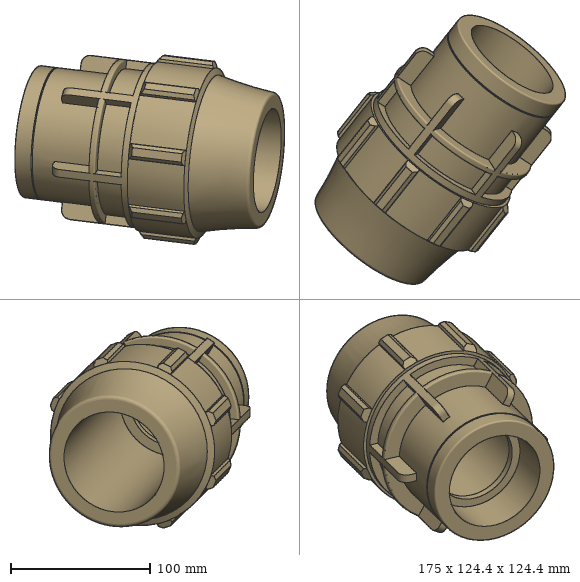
import cadquery as cq
length = 175.0

barrel_radius = 47.8
neck_radius = 53.0
collar_radius = 59.41
mouth_fillet = 1.2

groove_start = 12.5
groove_width = 0.9
groove_depth = 0.2

ring_start = 58.3
ring_width = 4.9
ring_fillet = 1.2
flange_start = 82.6

nut_start = 87.8
nut_radius = 61.6
nose_start = 131.8
nose_start_radius = 56.7
nose_end_radius = 49.0
nose_sag = 0.9
nose_fillet = 2.5

lug_count = 8
lug_top_radius = 66.06
lug_top_width = 6.1
lug_base_width = 11.0
lug_shoulder_radius = 63.5
lug_top_start = 91.2
lug_top_end = 128.1
lug_root_depth = 1.8

rib_count = 6
rib_start = 30.0
rib_thickness = 6.1
rib_corner_radius = 6.8

socket_radius = 72.3 / 2
socket_depth = 32.5
throat_radius = 60.0 / 2
pipe_radius = 75.0 / 2
pipe_start = 37.8

root_radius = 42.0

nut_end_slope = (nose_start - lug_top_end) / (lug_top_radius - nose_start_radius)
nut_end = nose_start - nut_end_slope * (nut_radius - nose_start_radius)


def cylinder(start, end, radius):
    return cq.Workplane("YZ", origin=(start, 0, 0)).circle(radius).extrude(end - start)


def revolve_about_x(profile):
    return profile.close().revolve(360, (0, 0, 0), (1, 0, 0))


def add_around_axis(body, feature, count, first_angle):
    for index in range(count):
        angle = first_angle + index * 360 / count
        body = body.union(feature.rotate((0, 0, 0), (1, 0, 0), angle))
    return body


def make_barrel():
    barrel = cylinder(0, nut_start, barrel_radius).faces("<X").edges().fillet(mouth_fillet)
    groove_end = groove_start + groove_width
    groove = cylinder(groove_start, groove_end, barrel_radius + 1.8).cut(
        cylinder(groove_start, groove_end, barrel_radius - groove_depth)
    )
    return barrel.cut(groove)


def make_rib():
    corner_end = rib_start + rib_corner_radius
    untrimmed_radius = collar_radius + 1.8
    return (
        cq.Workplane("XY", origin=(0, 0, -rib_thickness / 2))
        .moveTo(rib_start, root_radius)
        .lineTo(rib_start, collar_radius - rib_corner_radius)
        .radiusArc((corner_end, collar_radius), rib_corner_radius)
        .lineTo(corner_end, untrimmed_radius)
        .lineTo(nut_start, untrimmed_radius)
        .lineTo(nut_start, root_radius)
        .close()
        .extrude(rib_thickness)
    )


def make_ribbed_collar():
    ring_end = ring_start + ring_width
    ring = cylinder(ring_start, ring_end, collar_radius).edges().fillet(ring_fillet)
    neck = cylinder(ring_start + ring_width / 2, nut_start, neck_radius)
    flange = cylinder(flange_start, nut_start, collar_radius)
    core = cylinder(rib_start, nut_start, root_radius)
    collar = add_around_axis(core, make_rib(), rib_count, 0)
    collar = collar.union(ring).union(neck).union(flange)
    return collar.intersect(cylinder(0, nut_start, collar_radius))


def make_nut():
    middle = ((nose_start + length) / 2, (nose_start_radius + nose_end_radius) / 2 - nose_sag)
    profile = (
        cq.Workplane("XY")
        .moveTo(nut_start, 0)
        .lineTo(nut_start, nut_radius)
        .lineTo(nut_end, nut_radius)
        .lineTo(nose_start, nose_start_radius)
        .threePointArc(middle, (length, nose_end_radius))
        .lineTo(length, 0)
    )
    return revolve_about_x(profile).faces(">X").edges().fillet(nose_fillet)


def make_lug():
    root = nut_radius - lug_root_depth
    base_half_width = lug_base_width / 2
    top_half_width = lug_top_width / 2
    bar = (
        cq.Workplane("YZ", origin=(nut_start, 0, 0))
        .moveTo(root, -base_half_width)
        .lineTo(lug_shoulder_radius, -base_half_width)
        .lineTo(lug_top_radius, -top_half_width)
        .lineTo(lug_top_radius, top_half_width)
        .lineTo(lug_shoulder_radius, base_half_width)
        .lineTo(root, base_half_width)
        .close()
        .extrude(nose_start - nut_start)
    )
    side_profile = (
        cq.Workplane("XY", origin=(0, 0, -base_half_width))
        .moveTo(nut_start, root)
        .lineTo(nut_start, nut_radius)
        .lineTo(lug_top_start, lug_top_radius)
        .lineTo(lug_top_end, lug_top_radius)
        .lineTo(nut_end, nut_radius)
        .lineTo(nut_end, root)
        .close()
        .extrude(lug_base_width)
    )
    return bar.intersect(side_profile)


def make_bore():
    socket = cylinder(0, socket_depth, socket_radius)
    throat = cylinder(0, length, throat_radius)
    pipe_seat = cylinder(pipe_start, length, pipe_radius)
    return socket.union(throat).union(pipe_seat)


body = make_barrel().union(make_ribbed_collar()).union(make_nut())
body = add_around_axis(body, make_lug(), lug_count, 180 / lug_count)
result = body.cut(make_bore())